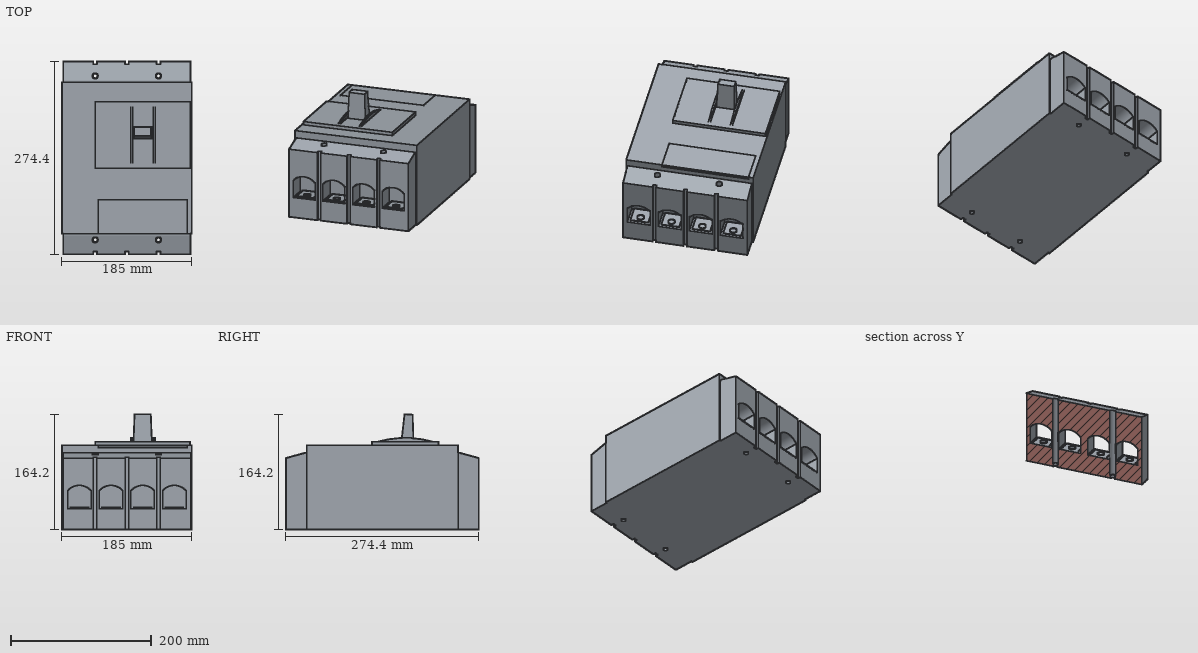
import cadquery as cq

BODY_WIDTH = 185.0
BODY_LENGTH = 215.4
BODY_HEIGHT = 120.0
TOTAL_LENGTH = 274.4
TOTAL_HEIGHT = 164.24

POLE_PITCH = 45.0
POLE_COUNT = 4
COVER_WIDTH = 181.0
COVER_SHELF_END = 110.0
COVER_SHELF_HEIGHT = 109.3
COVER_EDGE_HEIGHT = 101.8

GROOVE_WIDTH = 5.0
GROOVE_DEPTH = 4.0
MOUNT_HOLE_DIAMETER = 6.4
MOUNT_BORE_DIAMETER = 8.0
MOUNT_SEAT_HEIGHT = 5.0
MOUNT_HOLE_X = POLE_PITCH
MOUNT_HOLE_Y = 116.5

WINDOW_WIDTH = 33.2
WINDOW_FLOOR = 30.0
WINDOW_SPRING = 55.3
WINDOW_CROWN = 63.0
WINDOW_DEPTH = (TOTAL_LENGTH - BODY_LENGTH) / 2
TONGUE_WIDTH = 26.0
TONGUE_THICKNESS = 1.0
TONGUE_CLEARANCE = 1.0
TONGUE_SETBACK = 3.0
TONGUE_HOLE_DIAMETER = 10.0
TONGUE_HOLE_SETBACK = 12.3

PLATE_LEFT = -POLE_PITCH
PLATE_RIGHT = 2 * POLE_PITCH
PLATE_FRONT = -15.0
PLATE_BACK = 80.0
PLATE_THICKNESS = 5.0
PLATE_TOP = BODY_HEIGHT + PLATE_THICKNESS
PLATE_MID_Y = (PLATE_FRONT + PLATE_BACK) / 2
RIDGE_MID_X = 22.75
RIDGE_SPACING = 32.0
RIDGE_THICKNESS = 3.0
RIDGE_LENGTH = 78.3
RIDGE_HEIGHT = 5.6

LABEL_LEFT = -40.3
LABEL_RIGHT = 85.7
LABEL_BACK = -59.5
LABEL_THICKNESS = 2.6
LABEL_POCKET_DEPTH = 3.5

HANDLE_X = 22.5
HANDLE_BASE_WIDTH = 26.4
HANDLE_BASE_FRONT = 27.0
HANDLE_BASE_BACK = 44.4
HANDLE_TOP_WIDTH = 23.4
HANDLE_TOP_FRONT = 31.4
HANDLE_TOP_BACK = 43.2
HANDLE_TOP_DROP = 0.7


def box(x_range, y_range, z_range):
    """Block spanning the given (low, high) ranges."""
    size = [high - low for low, high in (x_range, y_range, z_range)]
    corner = (x_range[0], y_range[0], z_range[0])
    return cq.Workplane("XY").box(*size, centered=False).translate(corner)


def label_block(depth):
    """Block with the label outline, reaching the given depth below the body top."""
    return box(
        (LABEL_LEFT, LABEL_RIGHT),
        (-BODY_LENGTH / 2, LABEL_BACK),
        (BODY_HEIGHT - depth, BODY_HEIGHT),
    )


def make_covers():
    """Both terminal covers as one bar with sloping ends, running through the body."""
    half_profile = [
        (TOTAL_LENGTH / 2, 0),
        (TOTAL_LENGTH / 2, COVER_EDGE_HEIGHT),
        (COVER_SHELF_END, COVER_SHELF_HEIGHT),
    ]
    mirrored = [(-y, z) for y, z in reversed(half_profile)]
    return (
        cq.Workplane("YZ")
        .polyline(half_profile + mirrored)
        .close()
        .extrude(COVER_WIDTH / 2, both=True)
    )


def make_front_window(x):
    """Arched cavity at the front end, leaving a drilled tongue that reaches out from its inner wall."""
    front = -TOTAL_LENGTH / 2
    half = WINDOW_WIDTH / 2
    tongue_bottom = WINDOW_FLOOR + TONGUE_CLEARANCE
    cavity = (
        cq.Workplane("XZ", origin=(x, front, 0))
        .moveTo(-half, WINDOW_FLOOR)
        .lineTo(half, WINDOW_FLOOR)
        .lineTo(half, WINDOW_SPRING)
        .threePointArc((0, WINDOW_CROWN), (-half, WINDOW_SPRING))
        .close()
        .extrude(-WINDOW_DEPTH)
    )
    tongue = box(
        (x - TONGUE_WIDTH / 2, x + TONGUE_WIDTH / 2),
        (front + TONGUE_SETBACK, front + WINDOW_DEPTH),
        (tongue_bottom, tongue_bottom + TONGUE_THICKNESS),
    )
    tongue_hole = (
        cq.Workplane("XY", origin=(x, front + TONGUE_HOLE_SETBACK, tongue_bottom))
        .circle(TONGUE_HOLE_DIAMETER / 2)
        .extrude(TONGUE_THICKNESS)
    )
    return cavity.cut(tongue.cut(tongue_hole))


def make_housing():
    body = cq.Workplane("XY").box(BODY_WIDTH, BODY_LENGTH, BODY_HEIGHT, centered=(True, True, False))
    housing = body.union(make_covers())

    for pole in range(POLE_COUNT):
        x = (pole - (POLE_COUNT - 1) / 2) * POLE_PITCH
        front_window = make_front_window(x)
        back_window = front_window.mirror("XZ")
        housing = housing.cut(front_window).cut(back_window)

    grooves = (
        cq.Workplane("XY")
        .rarray(POLE_PITCH, TOTAL_LENGTH - GROOVE_DEPTH, POLE_COUNT - 1, 2)
        .rect(GROOVE_WIDTH, GROOVE_DEPTH)
        .extrude(BODY_HEIGHT)
    )
    housing = housing.cut(grooves)

    for diameter, bottom in ((MOUNT_HOLE_DIAMETER, 0), (MOUNT_BORE_DIAMETER, MOUNT_SEAT_HEIGHT)):
        bores = (
            cq.Workplane("XY", origin=(0, 0, bottom))
            .rarray(2 * MOUNT_HOLE_X, 2 * MOUNT_HOLE_Y, 2, 2)
            .circle(diameter / 2)
            .extrude(BODY_HEIGHT)
        )
        housing = housing.cut(bores)

    return housing.cut(label_block(LABEL_POCKET_DEPTH))


def make_face_plate():
    plate = box((PLATE_LEFT, PLATE_RIGHT), (PLATE_FRONT, PLATE_BACK), (BODY_HEIGHT, PLATE_TOP))
    for side in (-1, 1):
        ridge_x = RIDGE_MID_X + side * RIDGE_SPACING / 2
        ridge = (
            cq.Workplane("YZ", origin=(ridge_x, PLATE_MID_Y, PLATE_TOP))
            .moveTo(-RIDGE_LENGTH / 2, 0)
            .threePointArc((0, RIDGE_HEIGHT), (RIDGE_LENGTH / 2, 0))
            .close()
            .extrude(RIDGE_THICKNESS / 2, both=True)
        )
        plate = plate.union(ridge)
    return plate


def make_handle():
    """Side profile trimmed by a symmetric tapered front profile."""
    side_profile = (
        cq.Workplane("YZ", origin=(HANDLE_X, 0, 0))
        .moveTo(HANDLE_BASE_FRONT, PLATE_TOP)
        .lineTo(HANDLE_TOP_FRONT, TOTAL_HEIGHT)
        .lineTo(HANDLE_TOP_BACK, TOTAL_HEIGHT - HANDLE_TOP_DROP)
        .lineTo(HANDLE_BASE_BACK, PLATE_TOP)
        .close()
        .extrude(HANDLE_BASE_WIDTH / 2, both=True)
    )
    front_profile = (
        cq.Workplane("XZ", origin=(HANDLE_X, 0, 0))
        .moveTo(-HANDLE_BASE_WIDTH / 2, PLATE_TOP)
        .lineTo(-HANDLE_TOP_WIDTH / 2, TOTAL_HEIGHT)
        .lineTo(HANDLE_TOP_WIDTH / 2, TOTAL_HEIGHT)
        .lineTo(HANDLE_BASE_WIDTH / 2, PLATE_TOP)
        .close()
        .extrude(-PLATE_BACK)
    )
    return side_profile.intersect(front_profile)


housing = make_housing()
face_plate = make_face_plate()
label = label_block(LABEL_THICKNESS)
handle = make_handle()

result = cq.Compound.makeCompound([housing.val(), face_plate.val(), label.val(), handle.val()])